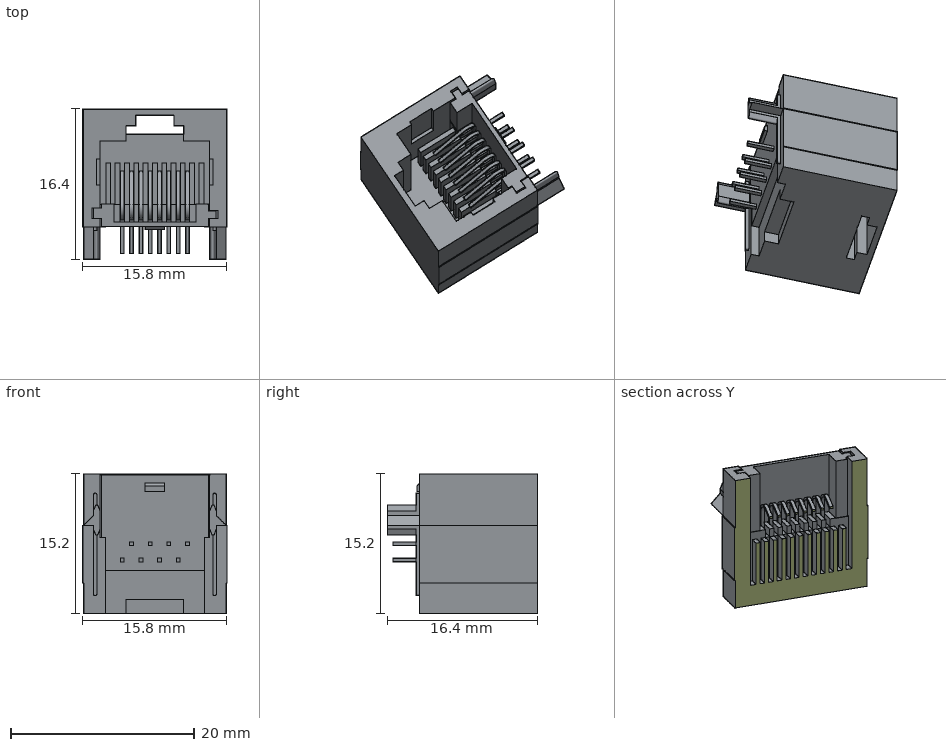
import cadquery as cq
import math


body_width = 15.56
body_depth = 12.87
body_height = 15.23
pad_width = 15.75
pad_bottom = 3.31
pad_top = 9.62

cavity_half = 5.96
cavity_front = 2.47
cavity_back = 9.37
cavity_floor = 2.45
key_half = 3.15
key_back = 11.04
latch_half = 2.06
latch_back = 12.19
floor_back = 10.14
side_pocket_half = 6.34
side_pocket_front = 4.62
side_pocket_back = 7.45
side_pocket_bottom = 8.3

insert_half = 5.83
insert_front = 0.07
insert_back = 2.54
insert_bottom = 8.3
insert_top = 15.12
lower_insert_half = 5.39
window_half = 4.45
window_front = 0.57
tongue_half = 6.68
groove_half = 6.86
tongue_front = 0.93
left_tongue_back = 2.08
right_tongue_back = 1.75
right_groove_back = 1.8

recess_depth = 0.9
recess_top = 4.72
notch_top = 1.52
notch_back = 2.47

contact_count = 8
contact_pitch = 1.02
contact_width = 0.41
contact_thickness = 0.25
contact_slot_width = 0.49
contact_front = 0.79
contact_back = 6.13
contact_bend_radius = 1.13
contact_bend_z = 9.83
contact_slope = math.radians(30)
rib_count = contact_count + 3
rib_back = 7.01
rib_top = 7.37
pin_size = 0.41
pin_length = 2.9
upper_pin_z = 7.62
lower_pin_z = 5.85

bump_width = 2.13
bump_bottom = 13.3
bump_top = 14.25
bump_height = 0.28

strip_inner = 6.32
strip_outer = 6.7
strip_bottom = 1.95
strip_top = 13.12
strip_thickness = 0.36
leg_inner = 5.98
overall_depth = 16.38
leg_length = overall_depth - body_depth
leg_bottom = 8.29
leg_top = 12.09
leg_side_bottom = 9.2
leg_side_top = 11.19
leg_tip_fillet = 0.15
barb_reach = 7.76
barb_top = 10.68
barb_bottom = pad_top


def block(x0, x1, y0, y1, z0, z1):
    """Box between opposite corners."""
    return cq.Workplane("XY").box(x1 - x0, y1 - y0, z1 - z0, centered=False).translate((x0, y0, z0))


def centred_block(half, y0, y1, z0, z1):
    """Box symmetric about x = 0."""
    return block(-half, half, y0, y1, z0, z1)


def extrude_along_x(outline, width, x):
    """Extrude a YZ outline to a width centred on x."""
    return outline.extrude(width / 2, both=True).translate((x, 0, 0))


def make_housing():
    housing = centred_block(body_width / 2, 0, body_depth, 0, body_height)
    housing = housing.union(centred_block(pad_width / 2, 0, body_depth, pad_bottom, pad_top))
    housing = housing.cut(centred_block(cavity_half, cavity_front, cavity_back, cavity_floor, body_height))
    housing = housing.cut(centred_block(key_half, cavity_front, key_back, cavity_floor, body_height))
    housing = housing.cut(centred_block(key_half, floor_back, key_back, 0, body_height))
    housing = housing.cut(centred_block(latch_half, floor_back, latch_back, 0, body_height))
    housing = housing.cut(
        centred_block(side_pocket_half, side_pocket_front, side_pocket_back, side_pocket_bottom, body_height)
    )
    housing = housing.cut(centred_block(cavity_half, 0, insert_back, insert_bottom, body_height))
    housing = housing.cut(block(-groove_half, 0, tongue_front, left_tongue_back, insert_bottom, body_height))
    housing = housing.cut(block(0, groove_half, tongue_front, right_groove_back, insert_bottom, body_height))
    housing = housing.cut(centred_block(lower_insert_half, 0, insert_front, 0, insert_bottom))
    housing = housing.cut(centred_block(lower_insert_half, 0, recess_depth, 0, recess_top))
    return housing.cut(centred_block(key_half, 0, notch_back, 0, notch_top))


def make_insert():
    insert = centred_block(insert_half, insert_front, insert_back, insert_bottom, insert_top)
    insert = insert.union(block(-tongue_half, 0, tongue_front, left_tongue_back, insert_bottom, insert_top))
    insert = insert.union(block(0, tongue_half, tongue_front, right_tongue_back, insert_bottom, insert_top))
    return insert.cut(centred_block(window_half, window_front, insert_back, insert_bottom, insert_top))


def make_ribs():
    rib_width = contact_pitch - contact_slot_width
    ribs = cq.Workplane("XY")
    for i in range(rib_count):
        x = (i - (rib_count - 1) / 2) * contact_pitch
        ribs = ribs.union(
            block(x - rib_width / 2, x + rib_width / 2, cavity_front, rib_back, cavity_floor, rib_top)
        )
    return ribs


def make_contact(x):
    """Bent strip: upright, round bend, then a slope down into the cavity."""
    bend_y = contact_front + contact_bend_radius

    def on_bend(radius, angle):
        return bend_y + radius * math.sin(angle), contact_bend_z + radius * math.cos(angle)

    inner_radius = contact_bend_radius - contact_thickness
    outer_end = on_bend(contact_bend_radius, contact_slope)
    inner_end = on_bend(inner_radius, contact_slope)
    run = contact_back - outer_end[0]
    drop = run * math.tan(contact_slope)
    arc_middle = (contact_slope - math.pi / 2) / 2
    outline = (
        cq.Workplane("YZ")
        .moveTo(contact_front, rib_top)
        .lineTo(contact_front, contact_bend_z)
        .threePointArc(on_bend(contact_bend_radius, arc_middle), outer_end)
        .lineTo(contact_back, outer_end[1] - drop)
        .lineTo(inner_end[0] + run, inner_end[1] - drop)
        .lineTo(*inner_end)
        .threePointArc(on_bend(inner_radius, arc_middle), (bend_y - inner_radius, contact_bend_z))
        .lineTo(bend_y - inner_radius, rib_top)
        .close()
    )
    return extrude_along_x(outline, contact_width, x)


def make_pin(x, z):
    half = pin_size / 2
    return block(x - half, x + half, -pin_length, insert_front, z - half, z + half)


def make_bump():
    outline = cq.Workplane("YZ").polyline([
        (insert_front, bump_bottom),
        (-bump_height, bump_bottom),
        (-bump_height, bump_top - bump_height - insert_front),
        (insert_front, bump_top),
    ]).close()
    return extrude_along_x(outline, bump_width, 0)


def make_leg():
    """Right-hand leg with its barb and backing strip."""
    leg_middle = (leg_inner + strip_outer) / 2
    leg = (
        cq.Workplane("XZ")
        .polyline([
            (leg_inner, leg_side_bottom),
            (leg_middle, leg_bottom),
            (strip_outer, leg_side_bottom),
            (strip_outer, leg_side_top),
            (leg_middle, leg_top),
            (leg_inner, leg_side_top),
        ])
        .close()
        .extrude(leg_length)
    )
    leg = leg.edges("|Y and (>Z or <Z)").fillet(leg_tip_fillet)
    barb = (
        cq.Workplane("XZ")
        .polyline([(strip_outer, barb_bottom), (barb_reach, barb_bottom), (strip_outer, barb_top)])
        .close()
        .extrude(leg_length)
    )
    strip_length = strip_top - strip_bottom
    strip = (
        cq.Workplane("XZ")
        .center((strip_inner + strip_outer) / 2, strip_bottom + strip_length / 2)
        .slot2D(strip_length, strip_outer - strip_inner, 90)
        .extrude(strip_thickness)
    )
    return leg.union(barb).union(strip)


def make_contact_slot(x):
    half = contact_slot_width / 2
    return block(x - half, x + half, window_front, cavity_front, rib_top, insert_bottom)


result = make_housing().union(make_insert()).union(make_ribs())

for i in range(contact_count):
    contact_x = (i - (contact_count - 1) / 2) * contact_pitch
    pin_z = lower_pin_z if i % 2 == 0 else upper_pin_z
    result = result.cut(make_contact_slot(contact_x))
    result = result.union(make_contact(contact_x))
    result = result.union(make_pin(contact_x, pin_z))

right_leg = make_leg()
result = result.union(make_bump()).union(right_leg).union(right_leg.mirror("YZ"))